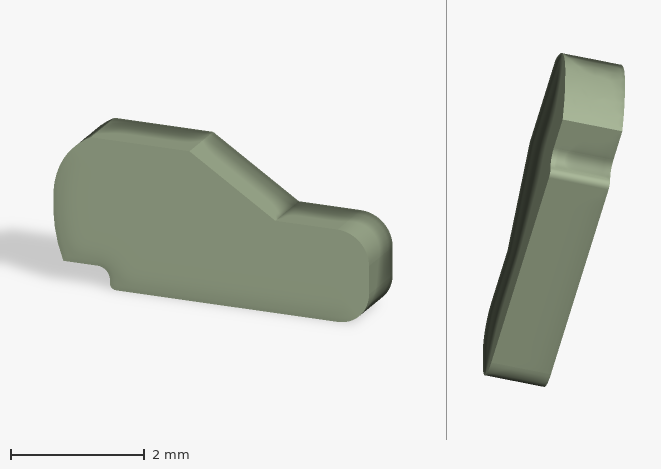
import cadquery as cq
import math

length = 5.12
height = 2.38
thickness = 0.92

shoulder_height = 1.47
top_start_x = 0.61
slope_start_x = 2.21
slope_end_x = 3.60
end_radius = 0.51

step_x = 0.92
step_height = 0.35
step_inner_radius = 0.2
step_outer_radius = 0.1

nose_tip_x = 0.165
nose_front_z = 1.32
nose_tip_angle = 111
nose_front_angle = 90
nose_top_angle = 28


def direction(angle):
    """Unit vector in the profile plane at an angle in degrees from +X."""
    return (math.cos(math.radians(angle)), math.sin(math.radians(angle)))


def make_profile():
    """Closed side outline, clockwise from the nose tip, with sharp corners where fillets follow."""
    return (
        cq.Workplane("XZ", origin=(0, thickness / 2, 0))
        .moveTo(nose_tip_x, step_height)
        .spline(
            [(0, nose_front_z), (top_start_x, height)],
            tangents=[direction(nose_tip_angle), direction(nose_front_angle), direction(nose_top_angle)],
            includeCurrent=True,
        )
        .lineTo(slope_start_x, height)
        .lineTo(slope_end_x, shoulder_height)
        .lineTo(length, shoulder_height)
        .lineTo(length, 0)
        .lineTo(step_x, 0)
        .lineTo(step_x, step_height)
        .close()
    )


def round_edge(body, x, z, radius):
    """Fillet the edge that runs along Y through (x, z)."""
    edge = cq.selectors.NearestToPointSelector((x, 0, z))
    return body.edges("|Y").edges(edge).fillet(radius)


body = make_profile().extrude(thickness)
for corner_z in (0, shoulder_height):
    body = round_edge(body, length, corner_z, end_radius)
body = round_edge(body, step_x, step_height, step_inner_radius)
body = round_edge(body, step_x, 0, step_outer_radius)

result = body